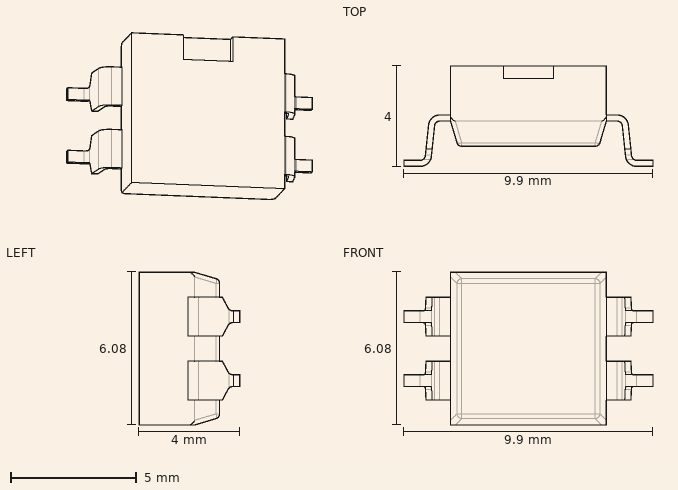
import cadquery as cq
import math


lead_span = 9.9
overall_height = 4.0

housing_length = 6.2
housing_width = 6.08
housing_height = 3.2
straight_height = 2.2
skirt_inset = 0.3
housing_fillet = 0.2

notch_length = 2.0
notch_height = 0.5
notch_depth = 1.0

lead_thickness = 0.25
lead_width = 1.55
foot_width = 0.48
lead_pitch = 2.54
leg_angle = 6.0
foot_length = 0.65
bend_inner_radius = 0.2
bend_outer_radius = bend_inner_radius + lead_thickness
neck_start = 0.69
neck_angle = 28.0
neck_fillet = 0.2

parting_level = overall_height - straight_height
housing_bottom = overall_height - housing_height
shoulder_bottom = parting_level
shoulder_top = shoulder_bottom + lead_thickness


def make_housing():
    skirt_height = parting_level - housing_bottom
    draft_angle = math.degrees(math.atan2(skirt_inset, skirt_height))
    upper = (
        cq.Workplane("XZ", origin=(0, overall_height, 0))
        .rect(housing_length, housing_width)
        .extrude(straight_height)
    )
    skirt = (
        cq.Workplane("XZ", origin=(0, parting_level, 0))
        .rect(housing_length, housing_width)
        .extrude(skirt_height, taper=draft_angle)
    )
    rim_and_corners = cq.selectors.BoxSelector(
        (-housing_length, housing_bottom - skirt_height / 4, -housing_width),
        (housing_length, parting_level - skirt_height / 4, housing_width),
    )
    body = upper.union(skirt).edges(rim_and_corners).fillet(housing_fillet)
    notch = cq.Workplane("XY").box(notch_length, notch_height, notch_depth).translate((
        0,
        overall_height - notch_height / 2,
        housing_width / 2 - notch_depth / 2,
    ))
    return body.cut(notch)


def arc_point(center, radius, angle):
    """Point on a circle; the angle is in radians from +X."""
    return (center[0] + radius * math.cos(angle), center[1] + radius * math.sin(angle))


def make_bent_strip():
    """Full-width gull-wing strip on the +X side, centred on Z = 0."""
    lean = math.radians(leg_angle)
    foot_tip = lead_span / 2
    foot_center = (foot_tip - foot_length, bend_outer_radius)
    shoulder_level = shoulder_bottom - bend_inner_radius
    center_drop = shoulder_level - foot_center[1]
    center_shift = (
        center_drop * math.tan(lean)
        + (bend_inner_radius + bend_outer_radius) / math.cos(lean)
    )
    shoulder_center = (foot_center[0] - center_shift, shoulder_level)

    shoulder_start = math.pi / 2
    shoulder_end = lean
    shoulder_middle = (shoulder_start + shoulder_end) / 2
    foot_start = math.pi + lean
    foot_end = 3 * math.pi / 2
    foot_middle = (foot_start + foot_end) / 2

    return (
        cq.Workplane("XY", origin=(0, 0, -lead_width / 2))
        .moveTo(housing_length / 2, shoulder_top)
        .lineTo(*arc_point(shoulder_center, bend_outer_radius, shoulder_start))
        .threePointArc(
            arc_point(shoulder_center, bend_outer_radius, shoulder_middle),
            arc_point(shoulder_center, bend_outer_radius, shoulder_end),
        )
        .lineTo(*arc_point(foot_center, bend_inner_radius, foot_start))
        .threePointArc(
            arc_point(foot_center, bend_inner_radius, foot_middle),
            arc_point(foot_center, bend_inner_radius, foot_end),
        )
        .lineTo(foot_tip, lead_thickness)
        .lineTo(foot_tip, 0)
        .lineTo(*arc_point(foot_center, bend_outer_radius, foot_end))
        .threePointArc(
            arc_point(foot_center, bend_outer_radius, foot_middle),
            arc_point(foot_center, bend_outer_radius, foot_start),
        )
        .lineTo(*arc_point(shoulder_center, bend_inner_radius, shoulder_end))
        .threePointArc(
            arc_point(shoulder_center, bend_inner_radius, shoulder_middle),
            arc_point(shoulder_center, bend_inner_radius, shoulder_start),
        )
        .lineTo(housing_length / 2, shoulder_bottom)
        .close()
        .extrude(lead_width)
    )


def make_lead_outline():
    """Block along X whose section narrows from the lead width to the foot width."""
    half_width = lead_width / 2
    half_foot = foot_width / 2
    neck_end = neck_start - (half_width - half_foot) * math.tan(math.radians(neck_angle))
    block = (
        cq.Workplane("YZ")
        .polyline([
            (shoulder_top, half_width),
            (neck_start, half_width),
            (neck_end, half_foot),
            (0, half_foot),
            (0, -half_foot),
            (neck_end, -half_foot),
            (neck_start, -half_width),
            (shoulder_top, -half_width),
        ])
        .close()
        .extrude(lead_span / 2)
    )
    neck_corners = cq.selectors.BoxSelector(
        (0, neck_end / 2, -lead_width),
        (lead_span, (neck_start + neck_end) / 2, lead_width),
    )
    return block.edges("|X").edges(neck_corners).fillet(neck_fillet)


def make_leads():
    right_lead = make_bent_strip().intersect(make_lead_outline())
    left_lead = right_lead.mirror("YZ")
    leads = []
    for lead in (left_lead, right_lead):
        for z in (-lead_pitch / 2, lead_pitch / 2):
            leads.append(lead.translate((0, 0, z)).val())
    return leads


housing = make_housing()
leads = make_leads()

result = cq.Compound.makeCompound([housing.val(), *leads])